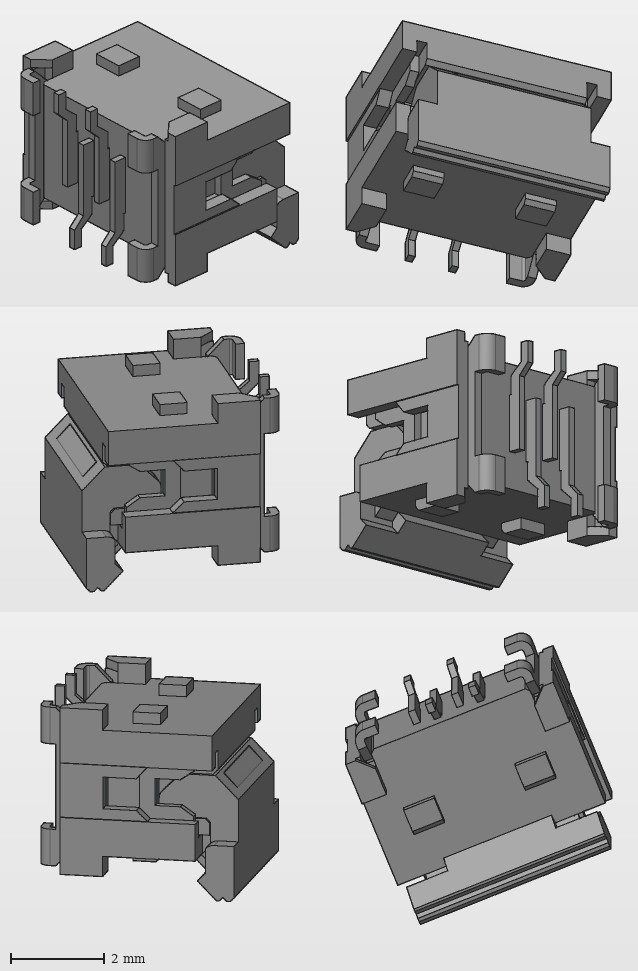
import cadquery as cq
import math


half_width = 2.4
body_half_height = 1.39
upper_length = 3.34
lower_length = 2.965
core_half_width = 1.84
core_rear_chamfer = 0.085
lower_lip_end = 3.165
lower_lip_chamfer = 0.09
lip_foot_half_width = 1.68
upper_lip_z = 0.41
upper_lip_chamfer = 0.1

ear_half_height = 1.84
ear_length = 0.935
ear_ceiling = 1.635
ear_pocket_depth = 0.33

slot_outer = 2.07
slot_half_height = 0.94

side_recess_depth = 0.04
side_top = 0.62
side_bottom = -0.58
opening_end = 1.915
window_front = 1.67
window_half_height = 0.35

boss_inner = 0.935
boss_width = 0.705
boss_rear = 1.435
boss_length = 0.6
boss_height = 0.25
boss_chamfer = 0.095

clip_thickness = 0.195
clip_outer = core_half_width + clip_thickness
clip_rear = -0.175
clip_shoulder_y = 0.18
clip_half_height = 1.745
bend_radius = 0.255
tab_rear = -0.545
tab_tip = 1.495
fork_tip = 2.855
fork_lead_z = 0.495
fork_throat = 2.565
fork_root = 2.01
fork_half_gap = 0.3
clip_hole_half_height = 0.43

latch_front = 3.78
latch_bottom = -2.29
foot_half_width = 2.205
latch_body_half_width = 1.765
tongue_half_width = 1.25
foot_top = -1.07
foot_rear = 3.15
foot_round = 0.27
foot_step_z = -1.695
tongue_root_y = lower_length
tongue_root_z = -body_half_height
tongue_size = 0.235
heel_step = 0.175
grip_chamfer = 0.08
grip_notch_y = 3.535
latch_top = 0.365
latch_top_chamfer = 0.505
hook_end = 2.04
hook_slope_front = 2.52
hook_slope_end_y = 2.075
hook_slope_end_z = -0.065
hook_round_end_z = -0.19
hook_round_bow = 0.01
pad_front = 3.64
pad_rear = 3.34
pad_height = 0.02

pin_count = 4
pin_pitch = 0.5
pin_width = 0.155
pin_front = -0.05
pin_back = -0.3
pin_tip_back = -0.56
pin_tip_thickness = 0.205
pin_knee_z = 1.065
pin_knee_rise = 0.255
pin_tip_z = 1.8
raised_pin_reach = 0.565
lowered_pin_reach = 0.67
pin_root_z = 0.695
overlap = 0.05


def box(x0, x1, y0, y1, z0, z1):
    """Axis-aligned block between opposite corners."""
    return cq.Workplane("XY").box(x1 - x0, y1 - y0, z1 - z0, centered=False).translate((x0, y0, z0))


def extrude_x(outline, x0, x1):
    """Extrude a closed YZ outline from x0 to x1."""
    return outline.close().extrude(x1 - x0).translate((x0, 0, 0))


def prism(points, x0, x1):
    """Straight-sided YZ profile extruded from x0 to x1."""
    return extrude_x(cq.Workplane("YZ").polyline(points), x0, x1)


def both_sides(piece):
    """A piece together with its mirror image across X = 0."""
    return piece.union(piece.mirror("YZ"))


def both_levels(piece):
    """A piece together with its mirror image across Z = 0."""
    return piece.union(piece.mirror("XY"))


def make_core():
    """Block between the clip slots, with lips at the mouth and room for the latch."""
    core = box(-core_half_width, core_half_width, 0, lower_length, -body_half_height, body_half_height)
    core = core.edges("|Z and <Y").chamfer(core_rear_chamfer)
    upper_lip = prism(
        [
            (opening_end, upper_lip_z),
            (upper_length - upper_lip_chamfer, upper_lip_z),
            (upper_length, upper_lip_z + upper_lip_chamfer),
            (upper_length, body_half_height),
            (opening_end, body_half_height),
        ],
        -core_half_width,
        core_half_width,
    )
    lower_lip = prism(
        [
            (opening_end, side_bottom),
            (lower_lip_end - lower_lip_chamfer, side_bottom),
            (lower_lip_end, side_bottom - lower_lip_chamfer),
            (lower_lip_end, -slot_half_height),
            (opening_end, -slot_half_height),
        ],
        -core_half_width,
        core_half_width,
    )
    lip_foot = prism(
        [
            (opening_end, -slot_half_height),
            (lower_lip_end, -slot_half_height),
            (lower_lip_end, lower_lip_end - lower_length - body_half_height),
            (lower_length, -body_half_height),
            (opening_end, -body_half_height),
        ],
        -lip_foot_half_width,
        lip_foot_half_width,
    )
    pocket = box(
        tongue_half_width, core_half_width, opening_end, upper_length, side_bottom, upper_lip_z
    )
    mouth = box(
        -core_half_width, core_half_width, hook_slope_front, upper_length, side_bottom, upper_lip_z
    )
    return core.union(upper_lip).union(lower_lip).union(lip_foot).cut(both_sides(pocket)).cut(mouth)


def make_side_wall():
    """Wall outside a clip slot, with ears, clip pocket, recess, opening and window."""
    upper = box(core_half_width, half_width, 0, upper_length, 0, body_half_height)
    lower = box(core_half_width, half_width, 0, lower_length, -body_half_height, 0)
    ears = box(core_half_width, half_width, 0, ear_length, -ear_half_height, ear_half_height)
    ears = ears.edges("|Z and <X and <Y").chamfer(ear_pocket_depth)
    ear_wall = box(slot_outer, half_width, 0, ear_length, -ear_ceiling, ear_ceiling)
    wall = upper.union(lower).union(ears).union(ear_wall)

    slot = box(core_half_width, slot_outer, 0, upper_length, -slot_half_height, slot_half_height)
    ear_pocket = box(core_half_width, slot_outer, 0, ear_pocket_depth, -ear_ceiling, ear_ceiling)
    recess = box(
        half_width - side_recess_depth, half_width, 0, upper_length, side_bottom, side_top
    )
    opening = prism(
        [
            (upper_length, side_bottom),
            (opening_end, side_bottom),
            (window_front, -window_half_height),
            (window_front, window_half_height),
            (opening_end, side_top),
            (upper_length, side_top),
        ],
        core_half_width,
        half_width,
    )
    window = box(
        core_half_width, half_width, ear_length, window_front, -window_half_height, window_half_height
    )
    return wall.cut(slot).cut(ear_pocket).cut(recess).cut(opening).cut(window)


def make_bosses():
    """Bosses on both walls; only the lower ones have a lead-in chamfer."""
    boss = box(
        boss_inner, boss_inner + boss_width,
        boss_rear, boss_rear + boss_length,
        body_half_height - overlap, body_half_height + boss_height,
    )
    chamfered = boss.faces(">Y").edges(">Z").chamfer(boss_chamfer)
    return both_sides(boss.union(chamfered.mirror("XY")))


def make_clip():
    """Sheet clip: forked plate in the slot, with two tabs bent inwards at the rear."""
    bend_start = tab_rear + bend_radius
    shoulder_z = clip_half_height - (clip_shoulder_y - clip_rear)
    half_plate = prism(
        [
            (fork_tip, 0),
            (fork_tip, slot_half_height),
            (clip_shoulder_y, slot_half_height),
            (clip_shoulder_y, shoulder_z),
            (clip_rear, clip_half_height),
            (bend_start, clip_half_height),
            (bend_start, slot_half_height),
            (clip_rear, slot_half_height),
            (clip_rear, 0),
        ],
        core_half_width,
        clip_outer,
    )
    fork_gap = prism(
        [
            (fork_tip, -fork_lead_z),
            (fork_throat, -fork_half_gap),
            (fork_root, -fork_half_gap),
            (fork_root, fork_half_gap),
            (fork_throat, fork_half_gap),
            (fork_tip, fork_lead_z),
        ],
        core_half_width,
        clip_outer,
    )
    hole = box(
        core_half_width, clip_outer,
        ear_length, window_front, -clip_hole_half_height, clip_hole_half_height,
    )
    inner_radius = bend_radius - clip_thickness
    bend_x = clip_outer - bend_radius
    diagonal = math.sqrt(0.5)
    tab = (
        cq.Workplane("XY")
        .moveTo(clip_outer, bend_start)
        .threePointArc(
            (bend_x + bend_radius * diagonal, bend_start - bend_radius * diagonal),
            (bend_x, tab_rear),
        )
        .lineTo(tab_tip, tab_rear)
        .lineTo(tab_tip, tab_rear + clip_thickness)
        .lineTo(bend_x, tab_rear + clip_thickness)
        .threePointArc(
            (bend_x + inner_radius * diagonal, bend_start - inner_radius * diagonal),
            (bend_x + inner_radius, bend_start),
        )
        .close()
        .extrude(clip_half_height - slot_half_height)
        .translate((0, 0, slot_half_height))
    )
    return both_levels(half_plate.union(tab)).cut(fork_gap).cut(hole)


def make_latch():
    """Latch: wide foot, narrower hooked body, central tongue and raised pad."""
    tongue_tip_y = tongue_root_y - tongue_size
    tongue_tip_z = tongue_root_z - tongue_size
    bottom_rear = tongue_tip_y + tongue_tip_z - latch_bottom
    foot_step = (tongue_tip_y + tongue_tip_z - foot_step_z - foot_rear) / 2
    grip = [
        (bottom_rear, latch_bottom),
        (grip_notch_y - grip_chamfer, latch_bottom),
        (grip_notch_y, latch_bottom + grip_chamfer),
        (grip_notch_y + grip_chamfer, latch_bottom),
        (latch_front - grip_chamfer, latch_bottom),
        (latch_front, latch_bottom + grip_chamfer),
    ]

    arc_y = foot_rear + foot_round * math.sin(math.radians(45))
    arc_z = foot_top - foot_round
    arc_middle = math.radians(22.5)
    arc_end = math.radians(45)
    foot_outline = (
        cq.Workplane("YZ")
        .moveTo(latch_front, foot_top)
        .lineTo(arc_y, foot_top)
        .threePointArc(
            (arc_y - foot_round * math.sin(arc_middle), arc_z + foot_round * math.cos(arc_middle)),
            (foot_rear, arc_z + foot_round * math.cos(arc_end)),
        )
        .lineTo(foot_rear, foot_step_z)
        .lineTo(foot_rear + foot_step, foot_step_z + foot_step)
    )
    for point in grip:
        foot_outline = foot_outline.lineTo(*point)
    foot = extrude_x(foot_outline, -foot_half_width, foot_half_width)

    tongue = prism(
        [
            (latch_front, foot_top),
            (foot_rear, foot_top),
            (tongue_root_y, tongue_root_z),
            (tongue_tip_y, tongue_tip_z),
        ]
        + grip,
        -tongue_half_width,
        tongue_half_width,
    )

    body_outline = (
        cq.Workplane("YZ")
        .moveTo(latch_front, latch_top - latch_top_chamfer)
        .lineTo(latch_front - latch_top_chamfer, latch_top)
        .lineTo(hook_slope_front, latch_top)
        .lineTo(hook_slope_end_y, hook_slope_end_z)
        .threePointArc(
            (hook_end + hook_round_bow, (hook_slope_end_z + hook_round_end_z) / 2),
            (hook_end, hook_round_end_z),
        )
        .lineTo(hook_end, side_bottom)
        .lineTo(lower_lip_end - lower_lip_chamfer, side_bottom)
        .lineTo(lower_lip_end, side_bottom - lower_lip_chamfer)
        .lineTo(lower_lip_end, tongue_root_z + lower_lip_end - tongue_root_y)
        .lineTo(tongue_root_y, tongue_root_z)
        .lineTo(tongue_root_y + heel_step, tongue_root_z - heel_step)
        .lineTo(latch_front, tongue_root_z - heel_step)
    )
    body = extrude_x(body_outline, -latch_body_half_width, latch_body_half_width)

    chamfer_sum = latch_front + latch_top - latch_top_chamfer
    pad = prism(
        [
            (pad_front, chamfer_sum - pad_front),
            (pad_rear, chamfer_sum - pad_rear + pad_height),
            (pad_rear, chamfer_sum - pad_front),
        ],
        -tongue_half_width,
        tongue_half_width,
    )
    return foot.union(tongue).union(body).union(pad)


def make_pin(x, direction):
    """Cranked pin centred on x; direction is +1 for a tip pointing up, -1 for down."""
    reach = raised_pin_reach if direction > 0 else lowered_pin_reach
    knee_out = pin_knee_z + pin_knee_rise
    tip_front = pin_tip_back + pin_tip_thickness
    pin = prism(
        [
            (overlap, -reach),
            (overlap, pin_root_z),
            (pin_front, pin_root_z),
            (pin_front, pin_knee_z + overlap),
            (tip_front, knee_out + overlap),
            (tip_front, pin_tip_z),
            (pin_tip_back, pin_tip_z),
            (pin_tip_back, knee_out),
            (pin_back, pin_knee_z),
            (pin_back, -reach),
        ],
        x - pin_width / 2,
        x + pin_width / 2,
    )
    return pin if direction > 0 else pin.mirror("XY")


result = make_core().union(both_sides(make_side_wall())).union(make_bosses())
result = result.union(both_sides(make_clip())).union(make_latch())
for index in range(pin_count):
    pin_x = (index - (pin_count - 1) / 2) * pin_pitch
    result = result.union(make_pin(pin_x, 1 if index % 2 == 0 else -1))